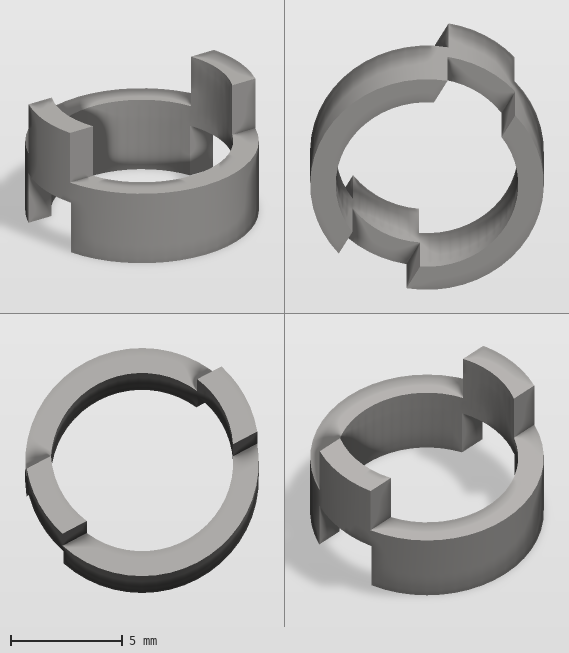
import cadquery as cq

outer_diameter = 10.5
inner_diameter = 8.2
total_height = 6.0
tab_height = 2.5
tab_width = 3.4
slot_height = 2.5
slot_width = 3.5

ring_height = total_height - tab_height


def tube(height):
    """Plain ring standing on the XY plane."""
    return (
        cq.Workplane("XY")
        .circle(outer_diameter / 2)
        .circle(inner_diameter / 2)
        .extrude(height)
    )


def bar_along_y(width, height):
    """Bar centred on X that spans the whole ring in Y, standing on the XY plane."""
    return cq.Workplane("XY").box(
        width, 2 * outer_diameter, height, centered=(True, True, False)
    )


tabs = tube(total_height).intersect(bar_along_y(tab_width, total_height))

slots = bar_along_y(slot_width, slot_height)

result = tube(ring_height).union(tabs).cut(slots)